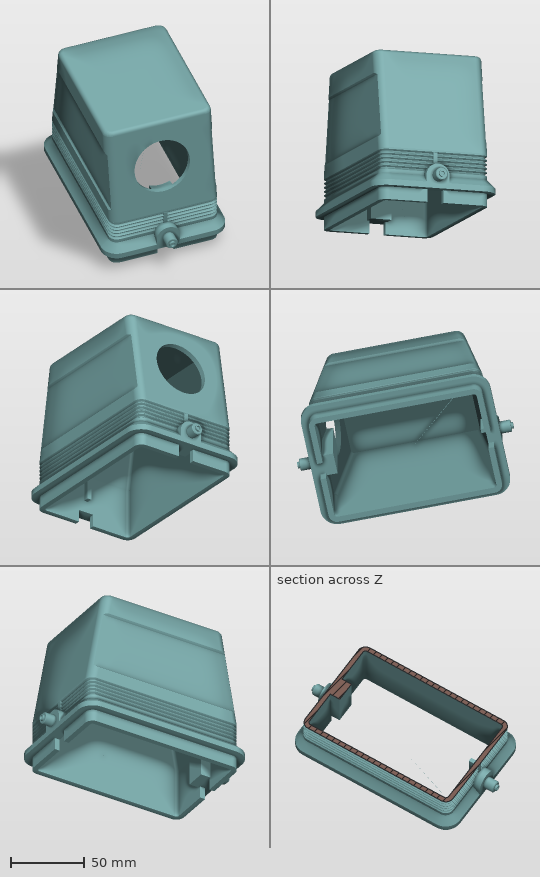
import cadquery as cq
import math

overall_length = 150.5
height = 107.0
body_half_length = 60.5
body_half_width = 39.5
body_corner_radius = 6.0
wall = 3.9
taper_angle = 10.0
taper_start_z = 36.4
top_fillet = 3.0

flange_projection = 5.5
flange_bottom_z = 8.9
flange_top_z = 13.0
flange_slope_top_z = flange_top_z + flange_projection
flange_half_length = body_half_length + flange_projection
flange_corner_radius = body_corner_radius + flange_projection

groove_count = 5
groove_pitch = 2.9
groove_mouth = 2.5
groove_floor = 0.8
groove_depth = 1.4
first_groove_z = 22.4
groove_rib_width = 3.0
groove_rib_top_z = 34.9

panel_depth = 1.4
panel_bottom_z = 44.5
panel_top_z = 90.5

pin_z = 17.6
boss_radius = 8.5
pin_radius = 4.2
pin_neck_radius = 4.0
pin_neck_length = 0.9
pin_end_chamfer = 0.5
tip_radius = 2.3
tip_bore_radius = 1.5
tip_length = 1.5

notch_width = 11.7
entry_radius = 20.2
entry_z = 72.2
entry_bore_length = 15.0
inner_rib_width = 15.0
inner_rib_face_x = 48.9

taper_slope = math.tan(math.radians(taper_angle))


def rounded_block(half_length, half_width, radius, bottom_z, top_z):
    """Upright rectangular block with rounded corners, centred on the Z axis."""
    return (
        cq.Workplane("XY", origin=(0, 0, bottom_z))
        .rect(2 * half_length, 2 * half_width)
        .extrude(top_z - bottom_z)
        .edges("|Z")
        .fillet(radius)
    )


def tapered_hood(half_length, half_width, radius, bottom_z, top_z):
    """Hood with upright long sides and end walls that lean in above taper_start_z."""
    top_half_length = half_length - (top_z - taper_start_z) * taper_slope
    upper = (
        cq.Workplane("XZ")
        .moveTo(-half_length, taper_start_z)
        .lineTo(half_length, taper_start_z)
        .lineTo(top_half_length, top_z)
        .lineTo(-top_half_length, top_z)
        .close()
        .extrude(half_width, both=True)
        .edges("not #Z")
        .fillet(radius)
    )
    lower = rounded_block(half_length, half_width, radius, bottom_z, taper_start_z)
    return lower.union(upper)


def flange():
    """Foot flange with an upright rim and a 45 degree slope up to the body."""
    return (
        rounded_block(
            flange_half_length,
            body_half_width + flange_projection,
            flange_corner_radius,
            flange_bottom_z,
            flange_slope_top_z,
        )
        .faces(">Z")
        .chamfer(flange_projection)
    )


def groove_cutter(middle_z):
    """Ring that cuts one groove with sloping flanks and a flat floor around the body."""
    bottom_z = middle_z - groove_mouth / 2
    flank_height = (groove_mouth - groove_floor) / 2
    flank_taper = math.degrees(math.atan(groove_depth / flank_height))
    ring = rounded_block(
        flange_half_length,
        body_half_width + flange_projection,
        flange_corner_radius,
        bottom_z,
        bottom_z + groove_mouth,
    )
    core = rounded_block(
        body_half_length - groove_depth,
        body_half_width - groove_depth,
        body_corner_radius - groove_depth,
        bottom_z,
        bottom_z + groove_mouth,
    )
    lower_flank = (
        cq.Workplane("XY", origin=(0, 0, bottom_z))
        .sketch()
        .rect(2 * body_half_length, 2 * body_half_width)
        .vertices()
        .fillet(body_corner_radius)
        .finalize()
        .extrude(flank_height, taper=flank_taper)
    )
    upper_flank = lower_flank.mirror("XY", (0, 0, middle_z))
    return ring.cut(core).cut(lower_flank).cut(upper_flank)


def panel_cutter(side):
    """Full-length cutter for the shallow panel on one long side, with 45 degree ends."""
    outer_y = side * body_half_width
    floor_y = side * (body_half_width - panel_depth)
    return (
        cq.Workplane("YZ")
        .moveTo(outer_y, panel_bottom_z)
        .lineTo(floor_y, panel_bottom_z + panel_depth)
        .lineTo(floor_y, panel_top_z - panel_depth)
        .lineTo(outer_y, panel_top_z)
        .close()
        .extrude(body_half_length, both=True)
    )


def pivot():
    """Boss, necked pin with tubular tip, and groove rib on the +X end wall."""
    inner_x = body_half_length - wall
    pin_end_x = overall_length / 2 - tip_length
    boss = (
        cq.Workplane("YZ", origin=(inner_x, 0, 0))
        .moveTo(-boss_radius, flange_bottom_z)
        .lineTo(boss_radius, flange_bottom_z)
        .lineTo(boss_radius, pin_z)
        .threePointArc((0, pin_z + boss_radius), (-boss_radius, pin_z))
        .close()
        .extrude(flange_half_length - inner_x)
    )
    neck_end_x = flange_half_length + pin_neck_length
    neck = (
        cq.Workplane("YZ", origin=(inner_x, 0, pin_z))
        .circle(pin_neck_radius)
        .extrude(neck_end_x - inner_x)
    )
    pin = (
        cq.Workplane("YZ", origin=(neck_end_x, 0, pin_z))
        .circle(pin_radius)
        .extrude(pin_end_x - neck_end_x)
        .faces(">X")
        .chamfer(pin_end_chamfer)
    )
    tip = (
        cq.Workplane("YZ", origin=(pin_end_x, 0, pin_z))
        .circle(tip_radius)
        .circle(tip_bore_radius)
        .extrude(tip_length)
    )
    groove_rib = (
        cq.Workplane("XY", origin=(inner_x, 0, pin_z))
        .rect(2 * wall, groove_rib_width)
        .extrude(groove_rib_top_z - pin_z)
    )
    return boss.union(neck).union(pin).union(tip).union(groove_rib)


def inner_rib():
    """Upright rib inside the +X end wall that runs up until the leaning wall absorbs it."""
    rib_top_z = taper_start_z + (body_half_length - wall / 2 - inner_rib_face_x) / taper_slope
    return (
        cq.Workplane("XZ")
        .moveTo(inner_rib_face_x, flange_bottom_z)
        .lineTo(body_half_length - wall / 2, flange_bottom_z)
        .lineTo(body_half_length - wall / 2, taper_start_z)
        .lineTo(inner_rib_face_x, rib_top_z)
        .close()
        .extrude(inner_rib_width / 2, both=True)
    )


def cable_entry_cutter():
    """Round bore square to the leaning +X end wall."""
    entry_x = body_half_length - (entry_z - taper_start_z) * taper_slope
    angle = math.radians(taper_angle)
    outward = cq.Vector(math.cos(angle), 0, math.sin(angle))
    face = cq.Plane(origin=(entry_x, 0, entry_z), xDir=(0, 1, 0), normal=outward)
    return cq.Workplane(face).circle(entry_radius).extrude(entry_bore_length, both=True)


body = tapered_hood(body_half_length, body_half_width, body_corner_radius, 0, height)
body = body.faces(">Z").edges().fillet(top_fillet)
body = body.union(flange())
for index in range(groove_count):
    body = body.cut(groove_cutter(first_groove_z + index * groove_pitch))
for side in (-1, 1):
    body = body.cut(panel_cutter(side))

cavity = tapered_hood(
    body_half_length - wall,
    body_half_width - wall,
    body_corner_radius - wall,
    0,
    height - wall,
)
body = body.cut(cavity)

right_pivot = pivot()
body = body.union(right_pivot).union(right_pivot.mirror("YZ"))
body = body.union(inner_rib()).cut(cable_entry_cutter())
notches = cq.Workplane("XY").rect(overall_length, notch_width).extrude(flange_bottom_z)
result = body.cut(notches)